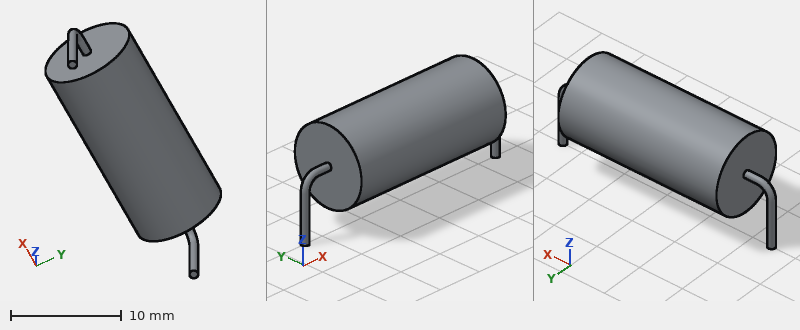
import cadquery as cq

overall_length = 25.22
body_diameter = 8.5
overall_height = 11.05

body_length = 18.5
lead_diameter = 0.8
bend_radius = 1.5

body_end = body_length / 2
lead_x = (overall_length - lead_diameter) / 2
lead_bottom = body_diameter / 2 - overall_height


def make_body():
    """Solid cylinder lying along X."""
    return cq.Workplane("YZ", origin=(-body_end, 0, 0)).circle(body_diameter / 2).extrude(body_length)


def make_lead(side):
    """Wire leaving one end face of the body and bending down; side is -1 or +1."""
    bend_start = side * (lead_x - bend_radius)
    path = (
        cq.Workplane("XZ")
        .moveTo(side * body_end, 0)
        .lineTo(bend_start, 0)
        .tangentArcPoint((side * lead_x, -bend_radius), relative=False)
        .lineTo(side * lead_x, lead_bottom)
    )
    return (
        cq.Workplane("YZ", origin=(side * body_end, 0, 0))
        .circle(lead_diameter / 2)
        .sweep(path)
    )


body = make_body()
leads = [make_lead(side) for side in (-1, 1)]

result = cq.Compound.makeCompound([body.val(), *[lead.val() for lead in leads]])